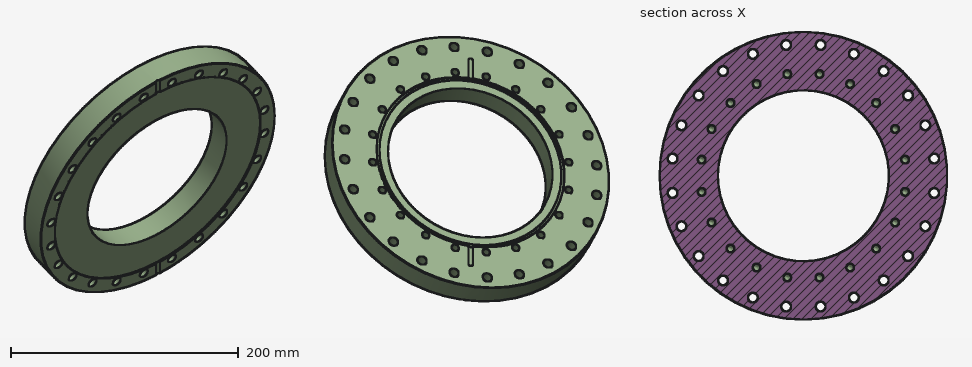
import cadquery as cq
import math

thickness = 25.0
outer_diameter = 253.0
bore_diameter = 150.0
rim_chamfer = 0.5
left_face = -thickness / 2
right_face = thickness / 2

seal_diameter = 171.4
knife_tip_diameter = 166.0
knife_tip_depth = 0.6
knife_slope = 20.0
seal_floor_depth = 1.2

gasket_recess_diameter = 222.3
gasket_recess_depth = seal_floor_depth

bolt_count = 24
bolt_hole_diameter = 8.4
bolt_circle_diameter = 231.9

blind_count = 20
blind_hole_diameter = 6.6
blind_circle_diameter = 181.0
blind_hole_depth = 15.0
drill_point_angle = 118.0

groove_width = 4.2
groove_depth = 1.2
groove_radius = ((groove_width / 2) ** 2 + groove_depth**2) / (2 * groove_depth)
left_groove_end = 103.6
groove_overlap = 0.5


def make_body():
    body = cq.Workplane("YZ", origin=(left_face, 0, 0)).circle(outer_diameter / 2).extrude(thickness)
    body = body.edges().chamfer(rim_chamfer)
    bore = cq.Workplane("YZ", origin=(left_face, 0, 0)).circle(bore_diameter / 2).extrude(thickness)
    return body.cut(bore)


def make_knife_edge_cut():
    """Revolved cut: flat floor around the bore, knife tip, and a cone falling to the outer wall."""
    seal_radius = seal_diameter / 2
    tip_radius = knife_tip_diameter / 2
    cone_drop = (seal_radius - tip_radius) * math.tan(math.radians(knife_slope))
    tip_x = left_face + knife_tip_depth
    floor_x = left_face + seal_floor_depth
    profile = [
        (left_face, 0),
        (left_face, seal_radius),
        (tip_x + cone_drop, seal_radius),
        (tip_x, tip_radius),
        (floor_x, tip_radius),
        (floor_x, 0),
    ]
    return cq.Workplane("XY").polyline(profile).close().revolve(360, (0, 0, 0), (1, 0, 0))


def make_gasket_recess():
    plane = cq.Workplane("YZ", origin=(right_face - gasket_recess_depth, 0, 0))
    return plane.circle(gasket_recess_diameter / 2).extrude(gasket_recess_depth)


def make_bolt_holes():
    plane = cq.Workplane("YZ", origin=(left_face, 0, 0))
    centres = plane.polarArray(bolt_circle_diameter / 2, 180 / bolt_count, 360, bolt_count)
    return centres.circle(bolt_hole_diameter / 2).extrude(thickness)


def make_blind_hole(angle):
    """One drilled hole with a conical bottom, at the given angle around the axis."""
    radius = blind_hole_diameter / 2
    point_length = radius / math.tan(math.radians(drill_point_angle / 2))
    shoulder_x = left_face + blind_hole_depth
    profile = [(left_face, 0), (left_face, radius), (shoulder_x, radius), (shoulder_x + point_length, 0)]
    drill = cq.Workplane("XY").polyline(profile).close().revolve(360, (0, 0, 0), (1, 0, 0))
    return drill.translate((0, 0, blind_circle_diameter / 2)).rotate((0, 0, 0), (1, 0, 0), angle)


def groove_axis_x(face_x, inward):
    """X of the cutter axis, just outside the face so that the cutter sinks in by groove_depth."""
    return face_x + inward * (groove_depth - groove_radius)


def make_groove(face_x, inward, start, end):
    """Round cutter along +Z between two radii; inward is the X direction (+1 or -1) into the flange."""
    axis_x = groove_axis_x(face_x, inward)
    return cq.Workplane("XY", origin=(axis_x, 0, start)).circle(groove_radius).extrude(end - start)


def make_left_groove():
    """Groove from the seal wall outwards, closed by a ball end."""
    groove = make_groove(left_face, 1, seal_diameter / 2 - groove_overlap, left_groove_end)
    axis_x = groove_axis_x(left_face, 1)
    ball = cq.Workplane("XY").sphere(groove_radius).translate((axis_x, 0, left_groove_end))
    return groove.union(ball)


def make_right_groove():
    """Groove from the gasket recess out through the rim."""
    start = gasket_recess_diameter / 2 - groove_overlap
    end = outer_diameter / 2 + groove_overlap
    return make_groove(right_face, -1, start, end)


result = make_body()
result = result.cut(make_knife_edge_cut())
result = result.cut(make_gasket_recess())
result = result.cut(make_bolt_holes())
blind_pitch = 360 / blind_count
for index in range(blind_count):
    result = result.cut(make_blind_hole((index + 0.5) * blind_pitch))
for groove in (make_left_groove(), make_right_groove()):
    result = result.cut(groove)
    result = result.cut(groove.rotate((0, 0, 0), (1, 0, 0), 180))